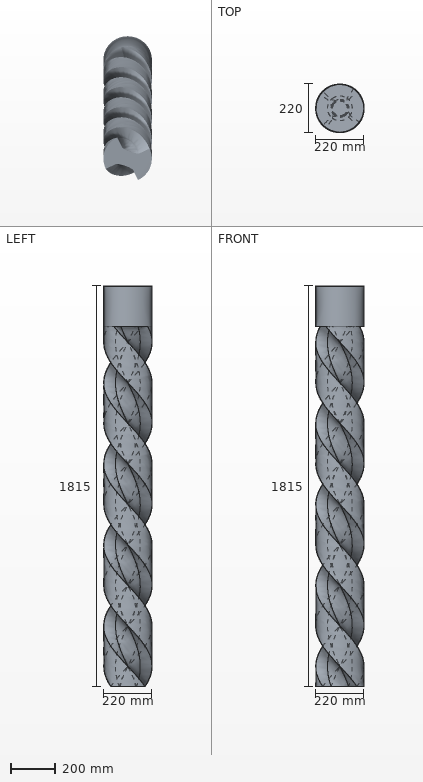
import cadquery as cq
import math

total_length = 1815.0
diameter = 220.0
shank_length = 183.0

flute_twist = -800.0
land_half_angle = 45.0
root_corner_radius = 56.0
root_depth_radius = 35.0

outer_radius = diameter / 2
fluted_length = total_length - shank_length


def polar(radius, angle):
    """Point at a radius and an angle in degrees from the X axis."""
    return (radius * math.cos(math.radians(angle)), radius * math.sin(math.radians(angle)))


def drill_profile():
    """Cross-section with two round lands, radial flute walls and shallow arc flute roots."""
    half_turn = 180
    quarter_turn = 90
    profile = cq.Workplane("XY").moveTo(*polar(root_corner_radius, -land_half_angle))
    for land_angle in (0, half_turn):
        start_angle = land_angle - land_half_angle
        end_angle = land_angle + land_half_angle
        next_start_angle = start_angle + half_turn
        flute_angle = land_angle + quarter_turn
        profile = profile.lineTo(*polar(outer_radius, start_angle))
        profile = profile.threePointArc(polar(outer_radius, land_angle), polar(outer_radius, end_angle))
        profile = profile.lineTo(*polar(root_corner_radius, end_angle))
        profile = profile.threePointArc(
            polar(root_depth_radius, flute_angle),
            polar(root_corner_radius, next_start_angle),
        )
    return profile.close()


fluted_body = drill_profile().twistExtrude(fluted_length, flute_twist)
shank = cq.Workplane("XY").workplane(offset=fluted_length).circle(outer_radius).extrude(shank_length)

result = fluted_body.union(shank).translate((0, 0, -total_length / 2))